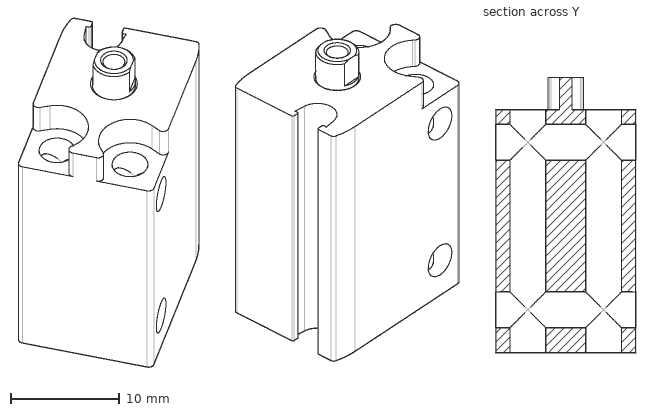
import cadquery as cq
import math

WIDTH = 13.0
LENGTH = 17.5
HEIGHT = 25.5
HALF_WIDTH = WIDTH / 2
MOUNT_CORNER_RADIUS = 0.5
TAPER_START_Y = 14.93
TAPER_RADIUS = 7.98
SLOT_END_CORNER_RADIUS = 0.4

MOUNT_HOLE_DIAMETER = 3.3
MOUNT_HOLE_X = 3.5
MOUNT_HOLE_Y = 3.0
SIDE_HOLE_HEIGHTS = (4, 19.5)
RECESS_DEPTH = 3.0
RECESS_RADIUS = 2.9
LIP_RADIUS = 0.5
SIDE_LIP_Y = 5.02
CENTRE_LIP_X = 1.65

SLOT_X = -2.62
SLOT_MOUTH_WIDTH = 3.0
SLOT_SHOULDER_WIDTH = 3.85
SLOT_SHOULDER_Y = 16.7
SLOT_RADIUS = 1.8
SLOT_BOTTOM_Y = 13.96
SLOT_LIP_RADIUS = 0.15

ROD_Y = 10.0
ROD_DIAMETER = 4
ROD_TOP_Z = 28.5
ROD_SEAT_DEPTH = 6.85
ROD_CHAMFER = 0.2
ROD_FLAT_WIDTH = 3.5
ROD_FLAT_CLEARANCE = 0.28
SOCKET_CHAMFER = 0.17
TAP_DIAMETER = 2.02
TAP_MOUTH_DIAMETER = 2.45
TAP_DEPTH = 5.0
DRILL_TIP_ANGLE = 118


def polar(centre, radius, angle):
    """Point at an angle (radians) on a circle."""
    return (centre[0] + radius * math.cos(angle), centre[1] + radius * math.sin(angle))


def housing_block():
    taper_run = LENGTH - TAPER_START_Y
    end_half_width = HALF_WIDTH - TAPER_RADIUS + math.sqrt(TAPER_RADIUS**2 - taper_run**2)
    middle_run = taper_run / 2
    middle_half_width = HALF_WIDTH - TAPER_RADIUS + math.sqrt(TAPER_RADIUS**2 - middle_run**2)
    middle_y = TAPER_START_Y + middle_run
    block = (
        cq.Workplane("XY")
        .moveTo(-HALF_WIDTH, 0)
        .lineTo(HALF_WIDTH, 0)
        .lineTo(HALF_WIDTH, TAPER_START_Y)
        .threePointArc((middle_half_width, middle_y), (end_half_width, LENGTH))
        .lineTo(-end_half_width, LENGTH)
        .threePointArc((-middle_half_width, middle_y), (-HALF_WIDTH, TAPER_START_Y))
        .close()
        .extrude(HEIGHT)
    )
    block = block.faces("<Y").edges("|Z").fillet(MOUNT_CORNER_RADIUS)
    return block.faces(">Y").edges("|Z").fillet(SLOT_END_CORNER_RADIUS)


def sensor_slot():
    """Undercut slot: narrow mouth, shoulders, then walls tangent to a round bottom."""
    mouth = SLOT_MOUTH_WIDTH / 2
    shoulder = SLOT_SHOULDER_WIDTH / 2
    centre_y = SLOT_BOTTOM_Y + SLOT_RADIUS
    shoulder_rise = SLOT_SHOULDER_Y - centre_y
    shoulder_angle = math.atan2(shoulder_rise, shoulder)
    tangent_angle = shoulder_angle - math.acos(SLOT_RADIUS / math.hypot(shoulder, shoulder_rise))
    tangent_x, tangent_y = polar((0, centre_y), SLOT_RADIUS, tangent_angle)
    slot = (
        cq.Workplane("XY")
        .center(SLOT_X, 0)
        .moveTo(mouth, LENGTH)
        .lineTo(mouth, SLOT_SHOULDER_Y)
        .lineTo(shoulder, SLOT_SHOULDER_Y)
        .lineTo(tangent_x, tangent_y)
        .threePointArc((0, SLOT_BOTTOM_Y), (-tangent_x, tangent_y))
        .lineTo(-shoulder, SLOT_SHOULDER_Y)
        .lineTo(-mouth, SLOT_SHOULDER_Y)
        .lineTo(-mouth, LENGTH)
        .close()
        .extrude(HEIGHT)
    )
    return slot


def round_slot_lips(body):
    """Round the vertical edges of the two lips that narrow the slot mouth."""
    for side in (-1, 1):
        for y in (SLOT_SHOULDER_Y, LENGTH):
            corner = (SLOT_X + side * SLOT_MOUTH_WIDTH / 2, y, HEIGHT / 2)
            body = body.edges(cq.selectors.NearestToPointSelector(corner)).fillet(SLOT_LIP_RADIUS)
    return body


def crossing_tangent(recess_centre, lip_centre, side):
    """Angle, seen from the recess centre, of a line that touches recess and lip between them."""
    dx = lip_centre[0] - recess_centre[0]
    dy = lip_centre[1] - recess_centre[1]
    spread = math.acos((RECESS_RADIUS + LIP_RADIUS) / math.hypot(dx, dy))
    return math.atan2(dy, dx) + side * spread


def corner_recess():
    """Recess at the -X mounting corner: a round pocket joined to two rounded lips."""
    recess_centre = (-MOUNT_HOLE_X, MOUNT_HOLE_Y)
    side_lip = (-HALF_WIDTH + LIP_RADIUS, SIDE_LIP_Y + LIP_RADIUS)
    centre_lip = (-CENTRE_LIP_X + LIP_RADIUS, LIP_RADIUS)
    side_angle = crossing_tangent(recess_centre, side_lip, -1)
    centre_angle = crossing_tangent(recess_centre, centre_lip, 1)
    side_lip_end = side_angle + math.pi
    centre_lip_end = centre_angle + math.pi
    return (
        cq.Workplane("XY")
        .workplane(offset=HEIGHT - RECESS_DEPTH)
        .moveTo(-HALF_WIDTH, 0)
        .lineTo(-HALF_WIDTH, side_lip[1])
        .threePointArc(
            polar(side_lip, LIP_RADIUS, (math.pi + side_lip_end) / 2),
            polar(side_lip, LIP_RADIUS, side_lip_end),
        )
        .lineTo(*polar(recess_centre, RECESS_RADIUS, side_angle))
        .threePointArc(
            polar(recess_centre, RECESS_RADIUS, (side_angle + centre_angle) / 2),
            polar(recess_centre, RECESS_RADIUS, centre_angle),
        )
        .lineTo(*polar(centre_lip, LIP_RADIUS, centre_lip_end))
        .threePointArc(
            polar(centre_lip, LIP_RADIUS, (centre_lip_end + 3 * math.pi / 2) / 2),
            (centre_lip[0], 0),
        )
        .close()
        .extrude(RECESS_DEPTH)
    )


def mounting_holes():
    vertical = (
        cq.Workplane("XY")
        .pushPoints([(-MOUNT_HOLE_X, MOUNT_HOLE_Y), (MOUNT_HOLE_X, MOUNT_HOLE_Y)])
        .circle(MOUNT_HOLE_DIAMETER / 2)
        .extrude(HEIGHT)
    )
    across = (
        cq.Workplane("YZ")
        .workplane(offset=-HALF_WIDTH)
        .pushPoints([(MOUNT_HOLE_Y, z) for z in SIDE_HOLE_HEIGHTS])
        .circle(MOUNT_HOLE_DIAMETER / 2)
        .extrude(WIDTH)
    )
    return vertical.union(across)


def rod_socket():
    """Blind socket for the rod with a chamfered mouth."""
    radius = ROD_DIAMETER / 2
    bottom_z = HEIGHT - ROD_SEAT_DEPTH
    profile = [
        (0, bottom_z),
        (radius, bottom_z),
        (radius, HEIGHT - SOCKET_CHAMFER),
        (radius + SOCKET_CHAMFER, HEIGHT),
        (0, HEIGHT),
    ]
    socket = cq.Workplane("XZ").polyline(profile).close().revolve(360, (0, 0), (0, 1))
    return socket.translate((0, ROD_Y, 0))


def make_housing():
    body = round_slot_lips(housing_block().cut(sensor_slot()))
    recess = corner_recess()
    body = body.cut(recess).cut(recess.mirror("YZ"))
    return body.cut(mounting_holes()).cut(rod_socket())


def tapped_hole():
    """Hole in the rod end with a countersunk mouth and a drill-point bottom."""
    radius = TAP_DIAMETER / 2
    mouth_radius = TAP_MOUTH_DIAMETER / 2
    bottom_z = ROD_TOP_Z - TAP_DEPTH
    tip_z = bottom_z - radius / math.tan(math.radians(DRILL_TIP_ANGLE / 2))
    profile = [
        (0, tip_z),
        (radius, bottom_z),
        (radius, ROD_TOP_Z - (mouth_radius - radius)),
        (mouth_radius, ROD_TOP_Z),
        (0, ROD_TOP_Z),
    ]
    return cq.Workplane("XZ").polyline(profile).close().revolve(360, (0, 0), (0, 1))


def make_rod():
    bottom_z = HEIGHT - ROD_SEAT_DEPTH
    flats_z = HEIGHT + ROD_FLAT_CLEARANCE
    rod = (
        cq.Workplane("XY", origin=(0, 0, bottom_z))
        .circle(ROD_DIAMETER / 2)
        .extrude(ROD_TOP_Z - bottom_z)
        .faces(">Z")
        .chamfer(ROD_CHAMFER)
    )
    for side in (-1, 1):
        flat_cut = (
            cq.Workplane("XY", origin=(side * (ROD_FLAT_WIDTH + ROD_DIAMETER) / 2, 0, flats_z))
            .rect(ROD_DIAMETER, ROD_DIAMETER)
            .extrude(ROD_TOP_Z - flats_z)
        )
        rod = rod.cut(flat_cut)
    return rod.cut(tapped_hole()).translate((0, ROD_Y, 0))


housing = make_housing()
rod = make_rod()

result = cq.Compound.makeCompound([housing.val(), rod.val()])